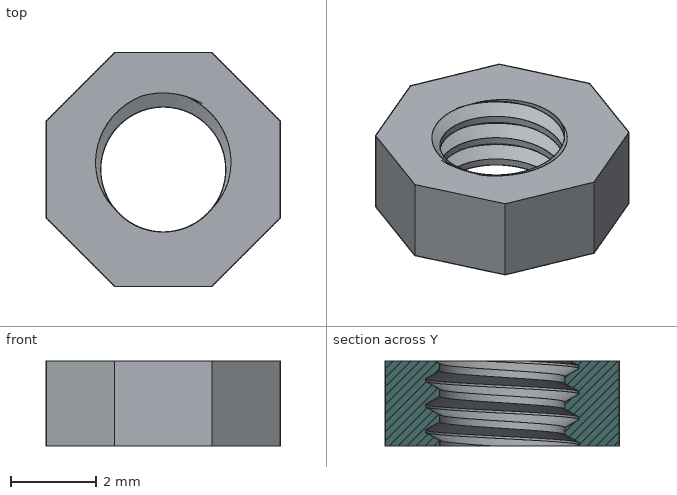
import cadquery as cq
import math

sides = 8
across_flats = 5.5
thickness = 2.0

minor_diameter = 2.93
major_diameter = 3.595
pitch = 0.6
root_flat = 0.055
groove_mouth = 0.43
bore_overlap = 0.055
groove_turns = 5

minor_radius = minor_diameter / 2
major_radius = major_diameter / 2


def octagon_body():
    across_corners = across_flats / math.cos(math.pi / sides)
    return (
        cq.Workplane("XY")
        .polygon(sides, across_corners)
        .extrude(thickness)
        .rotate((0, 0, 0), (0, 0, 1), 180 / sides)
    )


def thread_groove():
    """Helical trapezoid whose floor is centred on +Y at the top face."""
    path = cq.Wire.makeHelix(pitch, groove_turns * pitch, minor_radius)
    inner_radius = minor_radius - bore_overlap
    flank_slope = (groove_mouth - root_flat) / 2 / (major_radius - minor_radius)
    half_floor = root_flat / 2
    half_inner = groove_mouth / 2 + bore_overlap * flank_slope
    profile = [
        (inner_radius, -half_inner),
        (major_radius, -half_floor),
        (major_radius, half_floor),
        (inner_radius, half_inner),
    ]
    groove = cq.Workplane("XZ").polyline(profile).close().sweep(cq.Workplane(path), isFrenet=True)
    start_height = thickness - (groove_turns - 1) * pitch
    return groove.rotate((0, 0, 0), (0, 0, 1), 90).translate((0, 0, start_height))


bore = cq.Workplane("XY").circle(minor_radius).extrude(thickness)
result = octagon_body().cut(bore).cut(thread_groove())